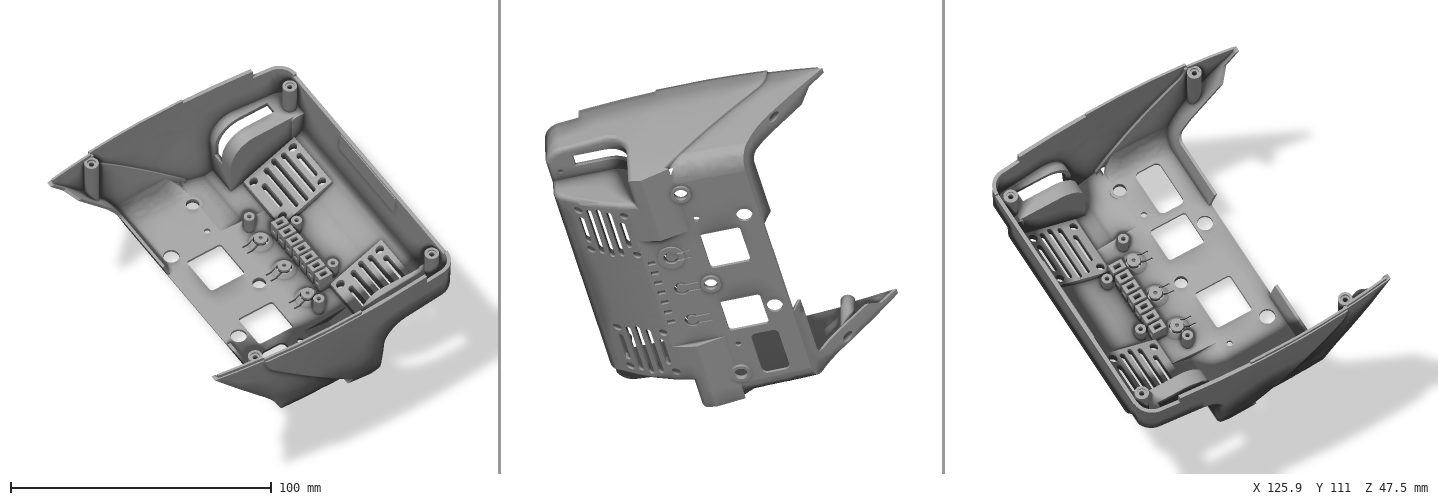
import cadquery as cq
import math

RIM_Z = 46.0
LIP_TOP_Z = 47.48
BACK_RIM_Z = 42.0
BACK_WALL_Z = 40.9
BACK_WALL_X = 52.0
BACK_WALL_LEAN = 0.85
BACK_STEP_Y = 40.2
BACK_Y = 55.5
TIP_Y = -55.49
WALL = 1.5
SKIN = 1.1
OVERLAP = 1.0
THROUGH_TOP_Z = 22.0
TOUCH = 1e-3

SIDE_SECTIONS = ((-1.0, 58.3), (20.0, 61.45), (LIP_TOP_Z, 63.0))
WIDEST_Y = -4.0
SIDE_RADIUS_FRONT = 330.0
SIDE_RADIUS_BACK = 480.0
PLAN_FRONT_Y = -70.0
CORNER = 8.0

FLOOR_BOTTOM_Z = 2.65
FLOOR_TOP_Z = FLOOR_BOTTOM_Z + SKIN
FLOOR_FRONT_Y = -23.2
OPEN_TOP_Z = 60.0
FRONT_INSET = 1.0
FRONT_EDGE_FILLET = 8.2
FRONT_INNER_FILLET = 7.5
STEP_ROUNDING = 0.9
FRONT_ZONE_BACK_Y = 14.0
VALLEY_Y = 16.2
RAMP_TOP_Y = -1.0
VALLEY_START = (15.2, 0.2)

FLANGE_TOP_Z = 10.3
FLANGE_GAP = 22.6
ARM_INNER_X = 51.2
ARM_TIP_X = 55.6
ARM_TAPER_Z = (35.1, 39.6)
FLANGE_CORNER = 3.5
FLANGE_CUT_BACK_Y = 0.0

PLATE_FRONT_Y = 5.0
PLATE_BACK_Y = 24.8
PLATE_FRONT_X = 29.2
PLATE_BACK_X = 28.2
BELLY_GAP_X = 27.2

NOTCH_X = 45.2
NOTCH_FRONT_Y = 21.7
NOTCH_ROOF_Z = 26.3
NOTCH_CORNER = 9.5
NOTCH_WALL = 1.8
NOTCH_SIDE_WALL = 1.1
NOTCH_RIB_X = 43.3
NOTCH_RIB_Y = 47.8
NOTCH_EDGE = 2.0
STRAP_SLOT_X = (50.3, 55.4)
STRAP_SLOT_Y = (NOTCH_FRONT_Y, 44.1)
STRAP_SLOT_BOTTOM_Z = 12.7

GRILLE_X = 30.0
GRILLE_WIDTH = 26.0
GRILLE_Y = (25.0, 49.8)
GRILLE_Z = (6.0, 17.0)
GRILLE_BACK_TOP_Y = 48.4
GRILLE_BACK_BASE_Z = 14.0
GRILLE_SLOTS = ((29.5, 13.0), (33.6, 22.4), (37.6, 24.2), (41.5, 22.4), (45.5, 13.0))
GRILLE_SLOT_WIDTH = 2.1
GRILLE_HOLE_Y = (27.6, 45.7)
GRILLE_HOLE_X = 10.0
GRILLE_HOLE_D = 3.3

POST_D = 5.6
POST_HOLE_D = 2.0
POST_SINK_D = 3.6
POST_SINK_DEPTH = 0.8
BACK_POST = (49.05, 50.3)
BACK_POST_TOP_Z = 41.1
FRONT_POST = (56.5, -36.0)
FRONT_POST_HEAD_Z = 33.0
BOARD_POST_D = 4.2
BOARD_POST_HOLE_D = 1.8
BOARD_POST_HOLE_DEPTH = 4.0
BOARD_POST_TOP_Z = 11.4
BOARD_POSTS = ((12.55, 29.1), (24.05, 15.0))

PIPE_COUNT = 7
PIPE_PITCH = 5.0
PIPE_SIZE = (3.9, 5.8)
PIPE_Y = 23.1
PIPE_TOP_Z = 11.6
PIPE_BORE = (1.8, 3.0)
PIPE_WINDOW = 2.0
PIPE_WINDOW_Z = 8.3

BUTTON_XS = (-16.2, 0.0, 16.2)
BUTTON_Y = 15.05
DOME_BASE_D = 10.2
DOME_TOP_D = 6.6
DOME_TOP_Z = 5.4
BUTTON_GAP_D = 6.0
BUTTON_STEM_D = 4.0
BUTTON_CAP_D = 5.2
BUTTON_CAP_Z = (5.4, 6.5)
BUTTON_DIMPLE_D = 1.6
BUTTON_DIMPLE_DEPTH = 1.0
TONGUE_SLOT_X = 1.7
TONGUE_SLOT_WIDTH = 0.7
TONGUE_FRONT_Y = 7.7
PAD_X = -16.2
PAD_D = 10.4
PAD_BOTTOM_Z = 2.0

ROUND_HOLES = ((-29.5, -17.3, 6.2), (17.1, -17.3, 6.2), (-32.1, 1.0, 2.4), (32.1, 1.0, 2.4))
COLLAR_XS = (-46.0, 0.0, 46.0)
COLLAR_Y = 3.55
COLLAR_D = 7.7
COLLAR_HOLE_D = 5.2
COLLAR_BOTTOM_Z = 1.55
WINDOWS = (
    (-15.45, -6.15, 17.3, 15.8, 1.2),
    (17.6, -5.2, 14.9, 15.8, 1.2),
    (38.8, -9.95, 20.2, 10.9, 2.2),
)

LIP_BACK_Y = 9.4
LIP_FRONT_Y = -53.7
LIP_INSET = 0.55
LIP_THICKNESS = 0.95
LIP_SPLIT_Y = -34.5
LIP_ROOT = 0.5
LABEL_X = 18.9
LABEL_Z = (32.2, 40.3)
LABEL_Y = (53.0, 53.5)


def box(x, y, z):
    """Box from (low, high) pairs along each axis."""
    size = (x[1] - x[0], y[1] - y[0], z[1] - z[0])
    return cq.Workplane().box(*size, centered=False).translate((x[0], y[0], z[0]))


def cylinder(x, y, diameter, z):
    return cq.Workplane().workplane(offset=z[0]).center(x, y).circle(diameter / 2).extrude(z[1] - z[0])


def both_sides(shape):
    """The shape together with its mirror image on the other side."""
    return shape.add(shape.mirror("YZ")).combine()


def across(profile, half_width=80.0):
    """Extrude a YZ profile symmetrically along X."""
    return profile.extrude(half_width, both=True)


def side_x(half_width, y):
    """Half width of the plan outline at a given Y."""
    radius = SIDE_RADIUS_FRONT if y < WIDEST_Y else SIDE_RADIUS_BACK
    return half_width - radius + math.sqrt(radius**2 - (y - WIDEST_Y) ** 2)


def plan_body(inset):
    """Solid with the bulging plan outline, lofted over the heights, moved in by an inset."""
    loft = cq.Workplane()
    level = 0.0
    corner_y = BACK_Y - CORNER
    back = BACK_Y - inset
    corner_size = back - corner_y
    bulge = corner_size * math.sqrt(0.5)
    side_ys = (PLAN_FRONT_Y, (PLAN_FRONT_Y + WIDEST_Y) / 2, WIDEST_Y, (WIDEST_Y + corner_y) / 2, corner_y)
    for z, full_half_width in SIDE_SECTIONS:
        half = full_half_width - inset
        right = [(side_x(half, y), y) for y in side_ys]
        left = [(-x, y) for x, y in reversed(right)]
        centre_x = right[-1][0] - corner_size
        loft = (
            loft.workplane(offset=z - level)
            .moveTo(*right[0])
            .spline(right[1:], includeCurrent=True)
            .threePointArc((centre_x + bulge, corner_y + bulge), (centre_x, back))
            .lineTo(-centre_x, back)
            .threePointArc((-centre_x - bulge, corner_y + bulge), left[0])
            .spline(left[1:], includeCurrent=True)
            .close()
        )
        level = z
    return loft.loft(combine=True)


def rear_profile(lean=0.0):
    """YZ outline of the rear zone, bounded in front by the diagonal step.

    The lean moves the foot of the back wall inward.
    """
    return (
        cq.Workplane("YZ")
        .moveTo(BACK_Y + OVERLAP, OPEN_TOP_Z)
        .lineTo(BACK_Y - lean / 2, BACK_RIM_Z)
        .lineTo(54.6 - lean, 21.0 - lean)
        .threePointArc((53.6 - 0.7 * lean, 18.0 - 0.5 * lean), (51.0, 15.7))
        .threePointArc((35.5, 6.5), (17.2, 0.15))
        .threePointArc((VALLEY_Y, 0.0), VALLEY_START)
        .lineTo(PLATE_FRONT_Y, FLOOR_BOTTOM_Z)
        .lineTo(6.8, 3.8)
        .lineTo(-31.2, 38.3)
        .threePointArc((-33.6, 41.8), (-34.5, RIM_Z))
        .lineTo(-34.5, OPEN_TOP_Z)
        .close()
    )


def front_profile():
    """YZ outline of the front zone: flat bottom, concave front, straight slope to the tips."""
    slope_start = (-33.3, 21.4)
    slope = (RIM_Z - slope_start[1]) / (TIP_Y - slope_start[0])
    top_y = TIP_Y + (OPEN_TOP_Z - RIM_Z) / slope
    return (
        cq.Workplane("YZ")
        .moveTo(FRONT_ZONE_BACK_Y, OPEN_TOP_Z)
        .lineTo(FRONT_ZONE_BACK_Y, FLOOR_BOTTOM_Z)
        .lineTo(FLOOR_FRONT_Y, FLOOR_BOTTOM_Z)
        .threePointArc((-27.2, 12.6), slope_start)
        .lineTo(top_y, OPEN_TOP_Z)
        .close()
    )


def front_body(inset, bottom_z, back_y, fillet):
    """Front zone width envelope with rounded bottom side edges."""
    envelope = plan_body(FRONT_INSET + inset)
    half_space = box((-80, 80), (PLAN_FRONT_Y + OVERLAP, back_y), (bottom_z, LIP_TOP_Z - 0.1))
    body = envelope.intersect(half_space)
    return body.faces("<Z").edges("<X or >X").fillet(fillet)


def side_edges(body, y_range, z_range):
    """Edges at the sides of a body whose middles lie within the Y and Z ranges."""
    picked = []
    for edge in body.edges().vals():
        middle = edge.positionAt(0.5)
        in_range = y_range[0] < middle.y < y_range[1] and z_range[0] < middle.z < z_range[1]
        if in_range and abs(middle.x) > ARM_INNER_X:
            picked.append(edge)
    return picked


def outer_body():
    """Outside of the housing as a filled body."""
    above_rim = box((-80, 80), (-80, 80), (RIM_Z, OPEN_TOP_Z))
    rear = plan_body(0).intersect(across(rear_profile())).cut(above_rim)
    step_edges = side_edges(rear, (LIP_SPLIT_Y, PLATE_FRONT_Y), (FLANGE_TOP_Z, RIM_Z))
    rear = rear.newObject(step_edges).fillet(STEP_ROUNDING)
    front_envelope = front_body(0, FLOOR_BOTTOM_Z, FRONT_ZONE_BACK_Y, FRONT_EDGE_FILLET)
    front = front_envelope.intersect(across(front_profile())).cut(above_rim)
    body = rear.union(front)
    belly_gap = box((-BELLY_GAP_X, BELLY_GAP_X), (0, 30), (-OVERLAP, FLOOR_BOTTOM_Z))
    back_step = box((-80, 80), (BACK_STEP_Y, 80), (BACK_RIM_Z, 80))
    back_wall = box((-BACK_WALL_X, BACK_WALL_X), (BACK_Y - CORNER, 80), (BACK_WALL_Z, 80))
    return body.cut(belly_gap).cut(back_step).cut(back_wall)


def valley_ramp():
    """Part of the cavity behind the level floor, where the rear bottom rises to it."""
    back_y = FRONT_ZONE_BACK_Y - SKIN
    rise = (FLOOR_BOTTOM_Z - VALLEY_START[1]) / (VALLEY_START[0] - PLATE_FRONT_Y)
    outline = (
        cq.Workplane("YZ")
        .moveTo(PLATE_FRONT_Y, FLOOR_TOP_Z)
        .lineTo(back_y, FLOOR_TOP_Z - rise * (back_y - PLATE_FRONT_Y))
        .lineTo(back_y, FLANGE_TOP_Z)
        .lineTo(RAMP_TOP_Y, FLANGE_TOP_Z)
        .close()
    )
    return plan_body(WALL + FRONT_INSET).intersect(across(outline))


def cavity():
    """Inside of the housing, open at the top."""
    rear = plan_body(WALL).intersect(across(rear_profile(BACK_WALL_LEAN).offset2D(-SKIN)))
    front_envelope = front_body(WALL, FLOOR_TOP_Z, PLATE_FRONT_Y, FRONT_INNER_FILLET)
    front = front_envelope.intersect(across(front_profile().offset2D(-SKIN)))
    return rear.union(front).union(valley_ramp())


def strap_room(front_y, roof_z, side_x_limit, corner):
    """Block with a rounded upper front corner, reaching out through the left back corner of the body."""
    outline = (
        cq.Workplane("YZ")
        .moveTo(80, -10)
        .lineTo(front_y, -10)
        .lineTo(front_y, roof_z - corner)
        .radiusArc((front_y + corner, roof_z), corner)
        .lineTo(80, roof_z)
        .close()
    )
    return outline.extrude(80 - side_x_limit).translate((-80, 0, 0))


def is_on(edge, shape):
    """Whether the middle of an edge lies on a shape."""
    middle = edge.positionAt(0.5)
    return shape.distance(cq.Vertex.makeVertex(*middle.toTuple())) < TOUCH


def notched_outer_body():
    """Outer body with the strap notches cut in and their outer edges rounded."""
    body = outer_body()
    notches = both_sides(strap_room(NOTCH_FRONT_Y, NOTCH_ROOF_Z, NOTCH_X, NOTCH_CORNER))
    notched = body.cut(notches)
    skin = body.val().Shells()[0]
    notch_skin = notches.val()
    mouth_edges = [
        edge
        for edge in notched.edges().vals()
        if is_on(edge, skin) and is_on(edge, notch_skin)
    ]
    return notched.newObject(mouth_edges).fillet(NOTCH_EDGE)


def shell():
    """Outer body hollowed out, leaving the walls around the strap notches."""
    notch_cover = strap_room(
        NOTCH_FRONT_Y - NOTCH_WALL,
        NOTCH_ROOF_Z + NOTCH_WALL,
        NOTCH_X - NOTCH_SIDE_WALL,
        NOTCH_CORNER + NOTCH_WALL,
    )
    notch_rib = strap_room(NOTCH_RIB_Y, NOTCH_ROOF_Z + NOTCH_WALL, NOTCH_RIB_X, NOTCH_WALL)
    walls = both_sides(notch_cover.union(notch_rib))
    return notched_outer_body().cut(cavity().cut(walls))


def arm_opening():
    """Opening between the arms and above the front flange."""
    y_range = (PLAN_FRONT_Y, FLANGE_CUT_BACK_Y)
    fillet_edge = ARM_INNER_X - FLANGE_CORNER
    half = (
        cq.Workplane("XZ")
        .moveTo(0, FLANGE_TOP_Z)
        .lineTo(fillet_edge, FLANGE_TOP_Z)
        .radiusArc((ARM_INNER_X, FLANGE_TOP_Z + FLANGE_CORNER), -FLANGE_CORNER)
        .lineTo(ARM_INNER_X, ARM_TAPER_Z[0])
        .lineTo(ARM_TIP_X, ARM_TAPER_Z[1])
        .lineTo(ARM_TIP_X, OPEN_TOP_Z)
        .lineTo(0, OPEN_TOP_Z)
        .close()
        .extrude(y_range[1] - y_range[0])
        .translate((0, y_range[1], 0))
    )
    gap = box((-FLANGE_GAP, FLANGE_GAP), y_range, (FLOOR_TOP_Z, OPEN_TOP_Z))
    return both_sides(half).union(gap)


def floor_plate():
    """Trapezoidal plate that carries the level floor back to the sloped bottom."""
    corners = (
        (-PLATE_FRONT_X, PLATE_FRONT_Y),
        (PLATE_FRONT_X, PLATE_FRONT_Y),
        (PLATE_BACK_X, PLATE_BACK_Y),
        (-PLATE_BACK_X, PLATE_BACK_Y),
    )
    return cq.Workplane().polyline(corners).close().extrude(FLOOR_TOP_Z)


def grille_pad():
    return (
        cq.Workplane("YZ")
        .moveTo(GRILLE_Y[0], 0)
        .lineTo(GRILLE_Y[0], GRILLE_Z[0])
        .lineTo(GRILLE_BACK_TOP_Y, GRILLE_Z[1])
        .lineTo(GRILLE_Y[1], GRILLE_BACK_BASE_Z)
        .lineTo(GRILLE_Y[1], 0)
        .close()
        .extrude(GRILLE_WIDTH / 2, both=True)
        .translate((GRILLE_X, 0, 0))
    )


def grille_openings():
    openings = cq.Workplane()
    for y, length in GRILLE_SLOTS:
        openings = openings.add(
            cq.Workplane().center(GRILLE_X, y).slot2D(length, GRILLE_SLOT_WIDTH).extrude(THROUGH_TOP_Z)
        )
    for y in GRILLE_HOLE_Y:
        for x in (GRILLE_X - GRILLE_HOLE_X, GRILLE_X + GRILLE_HOLE_X):
            openings = openings.add(cylinder(x, y, GRILLE_HOLE_D, (0, THROUGH_TOP_Z)))
    return openings.combine()


def strap_slot():
    """Slot through the roof and the front wall of a strap notch."""
    y_range = (STRAP_SLOT_Y[0] - NOTCH_WALL - OVERLAP, STRAP_SLOT_Y[1])
    z_range = (STRAP_SLOT_BOTTOM_Z, NOTCH_ROOF_Z + NOTCH_WALL + OVERLAP)
    return box(STRAP_SLOT_X, y_range, z_range)


def posts():
    """Screw posts of one side."""
    back = cylinder(*BACK_POST, POST_D, (NOTCH_ROOF_Z + OVERLAP, BACK_POST_TOP_Z))
    front = cylinder(*FRONT_POST, POST_D, (FLOOR_TOP_Z, RIM_Z))
    solids = back.add(front)
    for x, y in BOARD_POSTS:
        solids = solids.add(cylinder(x, y, BOARD_POST_D, (FLOOR_BOTTOM_Z, BOARD_POST_TOP_Z)))
    return solids.combine()


def post_holes():
    """Screw holes and screw head recesses of one side."""
    holes = cq.Workplane()
    for (x, y), top_z in ((BACK_POST, BACK_POST_TOP_Z), (FRONT_POST, RIM_Z)):
        holes = holes.add(cylinder(x, y, POST_HOLE_D, (0, top_z)))
        holes = holes.add(cylinder(x, y, POST_SINK_D, (top_z - POST_SINK_DEPTH, top_z)))
    holes = holes.add(cylinder(*FRONT_POST, POST_SINK_D, (0, FRONT_POST_HEAD_Z)))
    for x, y in BOARD_POSTS:
        hole_z = (BOARD_POST_TOP_Z - BOARD_POST_HOLE_DEPTH, BOARD_POST_TOP_Z)
        holes = holes.add(cylinder(x, y, BOARD_POST_HOLE_D, hole_z))
    return holes.combine()


def pipe_centres():
    middle = (PIPE_COUNT - 1) / 2
    return [((i - middle) * PIPE_PITCH, PIPE_Y) for i in range(PIPE_COUNT)]


def light_pipes():
    return (
        cq.Workplane()
        .workplane(offset=FLOOR_BOTTOM_Z)
        .pushPoints(pipe_centres())
        .rect(*PIPE_SIZE)
        .extrude(PIPE_TOP_Z - FLOOR_BOTTOM_Z)
    )


def light_pipe_openings():
    """Upright bores through the floor and windows through the front and back of each pipe."""
    bores = cq.Workplane().pushPoints(pipe_centres()).rect(*PIPE_BORE).extrude(PIPE_TOP_Z)
    windows = (
        cq.Workplane()
        .pushPoints(pipe_centres())
        .box(PIPE_WINDOW, PIPE_SIZE[1], PIPE_WINDOW)
        .translate((0, 0, PIPE_WINDOW_Z))
    )
    return bores.union(windows)


def dome(x):
    """Cone on the floor around a push button."""
    return (
        cq.Workplane()
        .workplane(offset=FLOOR_TOP_Z)
        .center(x, BUTTON_Y)
        .circle(DOME_BASE_D / 2)
        .workplane(offset=DOME_TOP_Z - FLOOR_TOP_Z)
        .circle(DOME_TOP_D / 2)
        .loft()
    )


def button_gap(x):
    """Round gap around a button and the two slots beside its spring tongue."""
    gap = cylinder(x, BUTTON_Y, BUTTON_GAP_D, (0, DOME_TOP_Z))
    for side in (-1, 1):
        centre = x + side * TONGUE_SLOT_X
        slot_x = (centre - TONGUE_SLOT_WIDTH / 2, centre + TONGUE_SLOT_WIDTH / 2)
        gap = gap.union(box(slot_x, (TONGUE_FRONT_Y, BUTTON_Y), (0, DOME_TOP_Z)))
    return gap


def button(x):
    """Push button on its spring tongue."""
    half_tongue = TONGUE_SLOT_X - TONGUE_SLOT_WIDTH / 2
    tongue_y = (BUTTON_Y - BUTTON_GAP_D / 2 - OVERLAP, BUTTON_Y)
    tongue = box((x - half_tongue, x + half_tongue), tongue_y, (FLOOR_BOTTOM_Z, FLOOR_TOP_Z))
    stem = cylinder(x, BUTTON_Y, BUTTON_STEM_D, (FLOOR_BOTTOM_Z, BUTTON_CAP_Z[0]))
    cap = cylinder(x, BUTTON_Y, BUTTON_CAP_D, BUTTON_CAP_Z)
    dimple_z = (BUTTON_CAP_Z[1] - BUTTON_DIMPLE_DEPTH, BUTTON_CAP_Z[1])
    dimple = cylinder(x, BUTTON_Y, BUTTON_DIMPLE_D, dimple_z)
    return tongue.union(stem).union(cap).cut(dimple)


def floor_openings():
    openings = cq.Workplane()
    for x, y, diameter in ROUND_HOLES:
        openings = openings.add(cylinder(x, y, diameter, (0, THROUGH_TOP_Z)))
    for x in COLLAR_XS:
        openings = openings.add(cylinder(x, COLLAR_Y, COLLAR_HOLE_D, (0, THROUGH_TOP_Z)))
    for x, y, width, height, radius in WINDOWS:
        window = cq.Workplane().center(x, y).rect(width, height).extrude(THROUGH_TOP_Z)
        openings = openings.add(window.edges("|Z").fillet(radius))
    return openings.combine()


def rim_lip():
    """Thin lip standing on the side walls."""
    lip = cq.Workplane()
    zones = ((0, (LIP_SPLIT_Y, LIP_BACK_Y)), (FRONT_INSET, (LIP_FRONT_Y, LIP_SPLIT_Y)))
    for zone_inset, y_range in zones:
        outer_inset = LIP_INSET + zone_inset
        ring = plan_body(outer_inset).cut(plan_body(outer_inset + LIP_THICKNESS))
        lip = lip.add(ring.intersect(box((-80, 80), y_range, (RIM_Z - LIP_ROOT, LIP_TOP_Z))))
    return lip.combine()


def label_pad():
    """Raised field on the leaning inside of the back wall."""
    field = (
        cq.Workplane("YZ")
        .moveTo(BACK_Y - SKIN, LABEL_Z[0])
        .lineTo(LABEL_Y[0], LABEL_Z[0])
        .lineTo(LABEL_Y[1], LABEL_Z[1])
        .lineTo(BACK_Y - SKIN, LABEL_Z[1])
        .close()
    )
    return across(field, LABEL_X)


envelope = outer_body()
part = shell().cut(arm_opening())

part = part.union(floor_plate().intersect(envelope))
part = part.union(both_sides(grille_pad()).intersect(envelope))
part = part.union(both_sides(posts()).intersect(envelope))
part = part.union(light_pipes().intersect(envelope))
part = part.union(rim_lip()).union(label_pad())

for collar_x in COLLAR_XS:
    part = part.union(cylinder(collar_x, COLLAR_Y, COLLAR_D, (COLLAR_BOTTOM_Z, FLOOR_TOP_Z)))
part = part.union(cylinder(PAD_X, BUTTON_Y, PAD_D, (PAD_BOTTOM_Z, FLOOR_TOP_Z)))

part = part.cut(both_sides(grille_openings())).cut(both_sides(strap_slot())).cut(both_sides(post_holes()))
part = part.cut(light_pipe_openings()).cut(floor_openings())

for button_x in BUTTON_XS:
    part = part.union(dome(button_x)).cut(button_gap(button_x)).union(button(button_x))

result = part